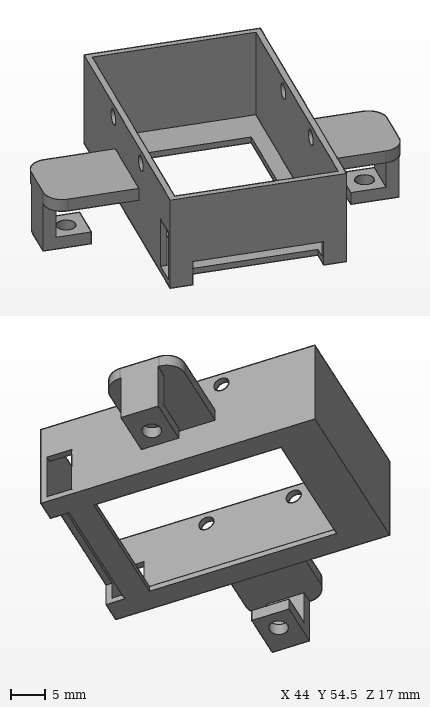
import cadquery as cq

box_length = 44.0
box_width = 27.0
box_height = 15.0
wall = 1.0
inner_end_x = box_length / 2 - wall

floor_window_length = 30.05
floor_window_width = 20.0
floor_window_margin = 7.0
end_slot_width = 2.0
end_slot_height = 4.0
side_window_length = 4.0
side_window_height = 8.0
screw_hole_diameter = 2.4
screw_hole_spacing = 14.0
screw_hole_drop = 2.1

overall_width = 54.5
arm_width = 12.0
arm_corner_radius = 2.9
arm_thickness = 2.0
arm_top_z = 8.0
hook_width = 6.0
hook_thickness = 2.0
foot_length = 7.4
peg_hole_diameter = 2.9
peg_hole_inset = 3.0


def block(x_range, y_range, z_range):
    """Box spanning the given (low, high) ranges."""
    sizes = [high - low for low, high in (x_range, y_range, z_range)]
    corner = (x_range[0], y_range[0], z_range[0])
    return cq.Workplane("XY").box(*sizes, centered=False).translate(corner)


def make_box():
    shell = cq.Workplane("XY").box(box_length, box_width, box_height, centered=(True, True, False))
    cavity = (
        cq.Workplane("XY", origin=(0, 0, wall))
        .rect(box_length - 2 * wall, box_width - 2 * wall)
        .extrude(box_height)
    )
    return shell.cut(cavity)


def floor_window():
    start_x = -box_length / 2 + floor_window_margin
    half_width = floor_window_width / 2
    return block((start_x, start_x + floor_window_length), (-half_width, half_width), (0, wall))


def end_slot():
    """Slot at the +X end of the floor that continues up through the end wall."""
    half_width = floor_window_width / 2
    return block(
        (inner_end_x - end_slot_width, box_length / 2),
        (-half_width, half_width),
        (0, end_slot_height),
    )


def side_windows():
    """Aligned windows through both long walls, next to the +X wall."""
    return block(
        (inner_end_x - side_window_length, inner_end_x),
        (-box_width / 2, box_width / 2),
        (wall, wall + side_window_height),
    )


def screw_holes():
    """Two aligned pairs of holes through the long walls."""
    return (
        cq.Workplane("XZ", origin=(0, 0, box_height - screw_hole_drop))
        .rarray(screw_hole_spacing, 0.55, 2, 1)
        .circle(screw_hole_diameter / 2)
        .extrude(box_width / 2, both=True)
    )


def make_clip():
    """Arm on the +Y side with a hook that turns back under the box."""
    root_y = box_width / 2
    tip_y = overall_width / 2
    foot_y = tip_y - foot_length
    foot_bottom_z = -hook_thickness
    hook_x = (-hook_width / 2, hook_width / 2)

    arm = block(
        (-arm_width / 2, arm_width / 2),
        (root_y, tip_y),
        (arm_top_z - arm_thickness, arm_top_z),
    )
    arm = arm.edges("|Z and >Y").fillet(arm_corner_radius)
    upright = block(hook_x, (tip_y - hook_thickness, tip_y), (foot_bottom_z, arm_top_z))
    foot = block(hook_x, (foot_y, tip_y), (foot_bottom_z, 0))
    peg_hole = (
        cq.Workplane("XY", origin=(0, foot_y + peg_hole_inset, foot_bottom_z))
        .circle(peg_hole_diameter / 2)
        .extrude(hook_thickness)
    )
    return arm.union(upright).union(foot).cut(peg_hole)


result = make_box()
for opening in (floor_window(), end_slot(), side_windows(), screw_holes()):
    result = result.cut(opening)

clip = make_clip()
result = result.union(clip).union(clip.mirror("XZ"))